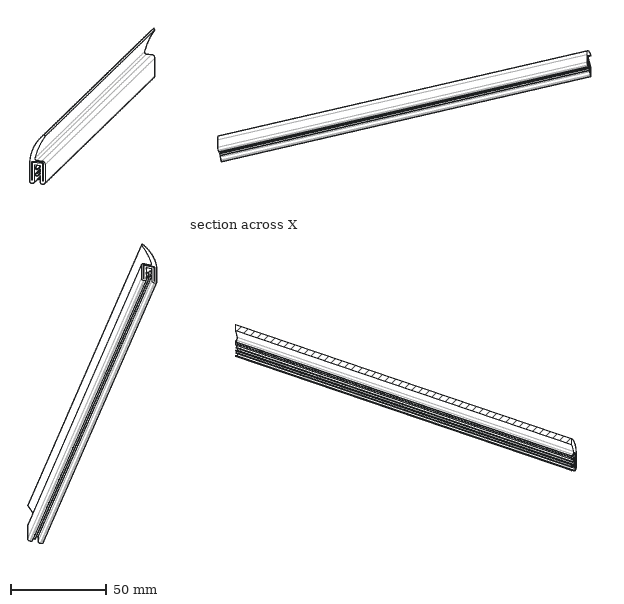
import cadquery as cq
import math

LENGTH = 200.0
WIDTH = 8.5
HEIGHT = 27.5

CLIP_HEIGHT = 12.8
SHOULDER_RADIUS = 1.8
FOOT_RADIUS = 1.2
SLOT_WIDTH = 3.0
SLOT_TOP = 10.2

LIP_START = 10.5
LIP_TIP_X = 3.8
LIP_END_X = 4.2
LIP_END_Z = 26.5
LIP_MID_X = 0.8
LIP_MID_Z = 20.2
LIP_ROOT_X = -1.5
LIP_ROOT_FILLET = 1.0

FIN_REACH = 1.5
FIN_DROP = 0.5
FIN_THICKNESS = 0.5
FIN_PITCH = 3.5
FINS_PER_SIDE = 2
LEFT_FIN_ROOT = 8.2
RIGHT_FIN_ROOT = LEFT_FIN_ROOT - FIN_PITCH / 2

CARRIER_WIDTH = 6.5
CARRIER_THICKNESS = 0.5
CARRIER_BOTTOM = 1.8
CARRIER_TOP = 12.2
CARRIER_OUTER_RADIUS = 1.0
CARRIER_INNER_RADIUS = CARRIER_OUTER_RADIUS - CARRIER_THICKNESS


def profile_plane():
    """XZ sketch plane at the +Y end; extrusions from it run towards -Y."""
    return cq.Workplane("XZ", origin=(0, LENGTH / 2, 0))


def block(width, bottom, top):
    """Full-length block centred on X = 0."""
    height = top - bottom
    return profile_plane().center(0, bottom + height / 2).rect(width, height).extrude(LENGTH)


def make_outer_shape():
    """Clip and lip without the slot: the lip flows out of the clip's left side."""
    side = WIDTH / 2
    run = LIP_TIP_X + side
    rise = HEIGHT - LIP_START
    radius = (run**2 + rise**2) / (2 * run)
    half_angle = math.asin(rise / radius) / 2
    outer_mid = (
        -side + radius * (1 - math.cos(half_angle)),
        LIP_START + radius * math.sin(half_angle),
    )
    shape = (
        profile_plane()
        .moveTo(-side, 0)
        .lineTo(-side, LIP_START)
        .threePointArc(outer_mid, (LIP_TIP_X, HEIGHT))
        .lineTo(LIP_END_X, LIP_END_Z)
        .threePointArc((LIP_MID_X, LIP_MID_Z), (LIP_ROOT_X, CLIP_HEIGHT))
        .lineTo(side, CLIP_HEIGHT)
        .lineTo(side, 0)
        .close()
        .extrude(LENGTH)
    )
    root_edge = cq.selectors.NearestToPointSelector((LIP_ROOT_X, 0, CLIP_HEIGHT))
    shoulder_edge = cq.selectors.NearestToPointSelector((side, 0, CLIP_HEIGHT))
    shape = shape.edges("|Y").edges(root_edge).fillet(LIP_ROOT_FILLET)
    return shape.edges("|Y").edges(shoulder_edge).fillet(SHOULDER_RADIUS)


def make_fin(side, root_z):
    """One fin; side is -1 for the left slot wall and +1 for the right one."""
    wall_x = side * SLOT_WIDTH / 2
    tip_x = wall_x - side * FIN_REACH
    tip_z = root_z - FIN_DROP
    outline = [
        (wall_x, root_z),
        (tip_x, tip_z),
        (tip_x, tip_z + FIN_THICKNESS),
        (wall_x, root_z + FIN_THICKNESS),
    ]
    return profile_plane().polyline(outline).close().extrude(LENGTH)


def make_carrier():
    outer = block(CARRIER_WIDTH, CARRIER_BOTTOM, CARRIER_TOP)
    outer = outer.edges("|Y and >Z").fillet(CARRIER_OUTER_RADIUS)
    inner_width = CARRIER_WIDTH - 2 * CARRIER_THICKNESS
    inner = block(inner_width, CARRIER_BOTTOM, CARRIER_TOP - CARRIER_THICKNESS)
    inner = inner.edges("|Y and >Z").fillet(CARRIER_INNER_RADIUS)
    return outer.cut(inner)


def make_seal(carrier):
    seal = make_outer_shape().cut(block(SLOT_WIDTH, 0, SLOT_TOP))
    seal = seal.edges("|Y and <Z").fillet(FOOT_RADIUS)
    for side, top_root in ((-1, LEFT_FIN_ROOT), (1, RIGHT_FIN_ROOT)):
        for index in range(FINS_PER_SIDE):
            seal = seal.union(make_fin(side, top_root - index * FIN_PITCH))
    return seal.cut(carrier)


carrier = make_carrier()
seal = make_seal(carrier)

result = cq.Compound.makeCompound([seal.val(), carrier.val()])